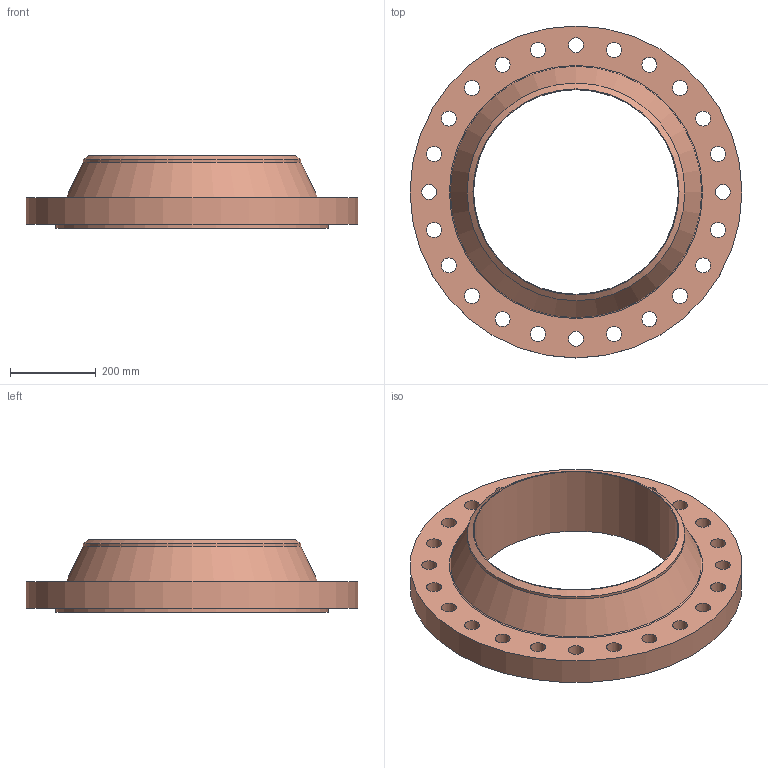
import cadquery as cq

flange_diameter = 774.7
flange_thickness = 62.0
raised_face_diameter = 635.0
raised_face_height = 9.53

overall_height = 170.05
hub_base_diameter = 587.2
hub_fillet_radius = 3.0
neck_diameter = 508.0
neck_height = 6.5
bore_diameter = 477.8
weld_land_width = 1.6
weld_bevel_height = 9.5

bolt_hole_count = 24
bolt_circle_diameter = 685.8
bolt_hole_diameter = 35.0

flange_top = raised_face_height + flange_thickness
neck_top = overall_height - weld_bevel_height
taper_top = neck_top - neck_height


def flange_body():
    """Revolve the half section of the flange, hub and neck about Z."""
    bore_radius = bore_diameter / 2
    section = (
        cq.Workplane("XZ")
        .moveTo(bore_radius, 0)
        .lineTo(raised_face_diameter / 2, 0)
        .lineTo(raised_face_diameter / 2, raised_face_height)
        .lineTo(flange_diameter / 2, raised_face_height)
        .lineTo(flange_diameter / 2, flange_top)
        .lineTo(hub_base_diameter / 2, flange_top)
        .lineTo(neck_diameter / 2, taper_top)
        .lineTo(neck_diameter / 2, neck_top)
        .lineTo(bore_radius + weld_land_width, overall_height)
        .lineTo(bore_radius, overall_height)
        .close()
    )
    return section.revolve(360, (0, 0, 0), (0, 1, 0))


def bolt_holes():
    """Cylinders through the flange plate, evenly spaced on the bolt circle."""
    return (
        cq.Workplane("XY")
        .polarArray(bolt_circle_diameter / 2, 0, 360, bolt_hole_count)
        .circle(bolt_hole_diameter / 2)
        .extrude(flange_top)
    )


def fillet_hub_corner(body):
    """Round the inner corner where the tapered hub meets the top of the flange plate."""
    upward_faces = body.faces("+Z")
    flange_top_face = upward_faces.faces("<Z")
    return flange_top_face.edges(cq.selectors.RadiusNthSelector(0)).fillet(hub_fillet_radius)


result = fillet_hub_corner(flange_body()).cut(bolt_holes())